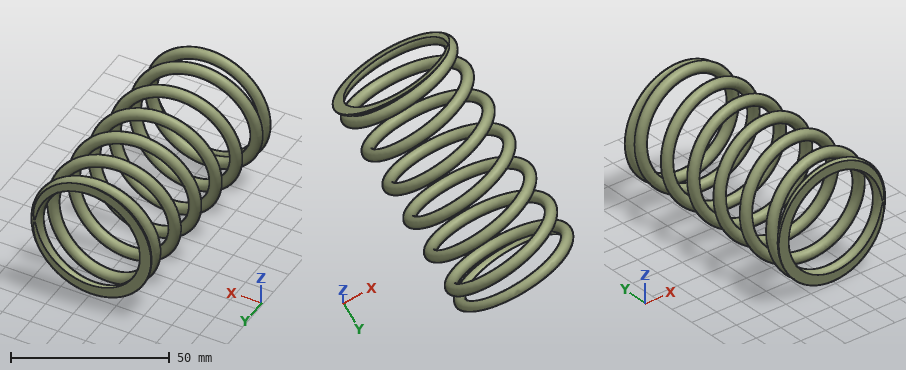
import cadquery as cq
import math

outer_diameter = 44.0
wire_diameter = 4.0
free_length = 78.0
open_pitch = 13.3
coil_gap = 0.02

closed_turns = 1.0
transition_turns = 0.5
open_turns = 5.0

wire_radius = wire_diameter / 2
coil_radius = (outer_diameter - wire_diameter) / 2
closed_pitch = wire_diameter + coil_gap

open_end = open_turns / 2
transition_end = open_end + transition_turns
wire_end = transition_end + closed_turns

closed_rise = closed_turns * closed_pitch
wire_end_rise = free_length / 2 + closed_rise / 2
transition_end_rise = wire_end_rise - closed_rise
open_end_rise = open_end * open_pitch

closed_pieces = 2
points_per_turn = 24
velocity_step = 1e-4


def transition_height(turns):
    """Cubic blend from the open pitch to the closed pitch."""
    s = (turns - open_end) / transition_turns
    start_slope = open_pitch * transition_turns
    end_slope = closed_pitch * transition_turns
    blend = 3 * s**2 - 2 * s**3
    return (
        open_end_rise * (1 - blend)
        + transition_end_rise * blend
        + start_slope * (s**3 - 2 * s**2 + s)
        + end_slope * (s**3 - s**2)
    )


def rise(turns):
    """Y of the wire centre; the two halves of the spring rise alike."""
    distance = abs(turns)
    if distance <= open_end:
        height = distance * open_pitch
    elif distance < transition_end:
        height = transition_height(distance)
    else:
        height = transition_end_rise + (distance - transition_end) * closed_pitch
    return math.copysign(height, turns)


def wire_centre(turns):
    """The wire starts and ends on the +X side and turns from +X towards -Z."""
    angle = 2 * math.pi * (turns + wire_end)
    return cq.Vector(coil_radius * math.cos(angle), rise(turns), -coil_radius * math.sin(angle))


def wire_velocity(turns):
    """Rate of travel of the wire centre per turn."""
    travel = wire_centre(turns + velocity_step) - wire_centre(turns - velocity_step)
    return travel / (2 * velocity_step)


def wire_piece(start, end):
    """Round wire swept between two positions."""
    count = round((end - start) * points_per_turn)
    stations = [start + i / points_per_turn for i in range(count + 1)]
    path_edge = cq.Edge.makeSpline(
        [wire_centre(station) for station in stations],
        tangents=[wire_velocity(start), wire_velocity(end)],
        parameters=stations,
        scale=False,
    )
    path = cq.Workplane(obj=cq.Wire.assembleEdges([path_edge]))
    section_plane = cq.Plane(origin=wire_centre(start), xDir=(0, -1, 0), normal=wire_velocity(start))
    return cq.Workplane(section_plane).circle(wire_radius).sweep(path, isFrenet=True)


def ground(piece):
    """Cut away everything beyond the two flat end faces."""
    block_side = 2 * outer_diameter
    return piece.intersect(cq.Workplane().box(block_side, free_length, block_side))


def end_coils():
    """Ground closed coil at the -Y end with its transition to the open coils."""
    coils = wire_piece(-transition_end, -open_end)
    piece_turns = closed_turns / closed_pieces
    for i in range(closed_pieces):
        start = -wire_end + i * piece_turns
        coils = coils.union(ground(wire_piece(start, start + piece_turns)))
    return coils


first_end = end_coils()
second_end = first_end.rotate((0, 0, 0), (1, 0, 0), 180)
open_coils = wire_piece(-open_end, open_end)
result = open_coils.union(first_end).union(second_end).solids()